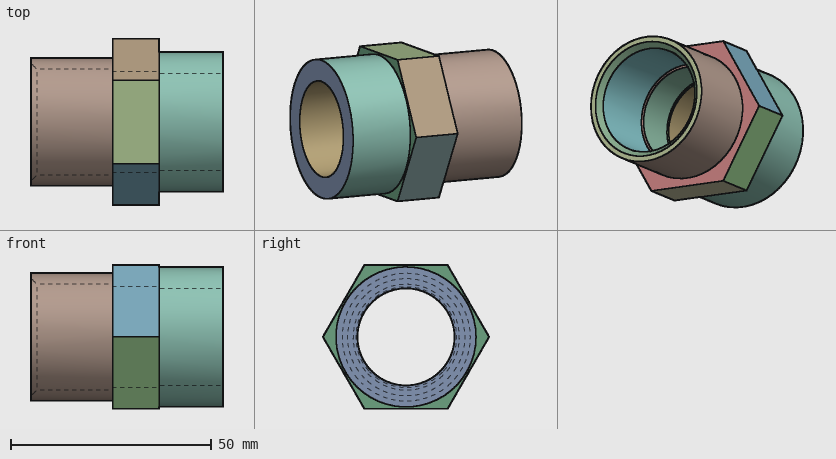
import cadquery as cq
import math

total_length = 48.0
hex_start = 20.4
hex_width = 11.6
hex_end = hex_start + hex_width

front_spigot_diameter = 32.0
rear_spigot_diameter = 35.0
hex_across_flats = 36.0
hex_across_corners = hex_across_flats / math.cos(math.pi / 6)

mouth_diameter = 29.3
front_bore_diameter = 26.5
middle_bore_diameter = 25.2
rear_bore_diameter = 24.2
mouth_depth = (mouth_diameter - front_bore_diameter) / 2


def cylinder(diameter, start, end):
    """Solid cylinder about the X axis between two X positions."""
    return cq.Workplane("YZ", origin=(start, 0, 0)).circle(diameter / 2).extrude(end - start)


def hexagon_collar():
    """Hexagonal wrench collar with corners on +Y and -Y and flats on +Z and -Z."""
    return (
        cq.Workplane("YZ", origin=(hex_start, 0, 0))
        .polygon(6, hex_across_corners)
        .extrude(hex_width)
    )


def stepped_bore():
    """Through bore: conical mouth, then three coaxial diameters, one per outside section."""
    profile = [
        (0, 0),
        (0, mouth_diameter / 2),
        (mouth_depth, front_bore_diameter / 2),
        (hex_start, front_bore_diameter / 2),
        (hex_start, middle_bore_diameter / 2),
        (hex_end, middle_bore_diameter / 2),
        (hex_end, rear_bore_diameter / 2),
        (total_length, rear_bore_diameter / 2),
        (total_length, 0),
    ]
    return cq.Workplane("XZ").polyline(profile).close().revolve(360, (0, 0, 0), (1, 0, 0))


front_spigot = cylinder(front_spigot_diameter, 0, hex_start)
rear_spigot = cylinder(rear_spigot_diameter, hex_end, total_length)
body = front_spigot.union(hexagon_collar()).union(rear_spigot)
result = body.cut(stepped_bore())